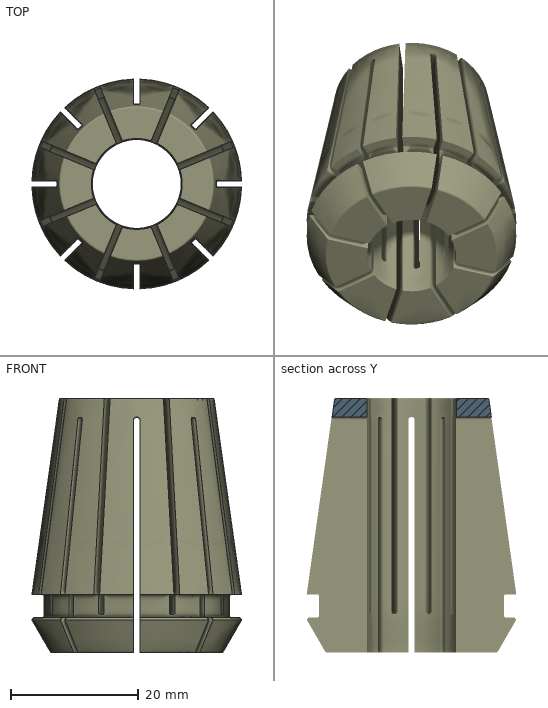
import cadquery as cq
import math

LENGTH = 40.0
MAX_RADIUS = 16.5
BORE_RADIUS = 14.0 / 2

NOSE_ANGLE = 30.0
RIM_HEIGHT = 5.15
NOSE_HEIGHT = 5.5
NOSE_TOP_RADIUS = 16.2
NOSE_BOTTOM_FILLET = 0.3

GROOVE_RADIUS = 14.6
GROOVE_TOP_HEIGHT = 9.1
GROOVE_FILLET = 0.2

CONE_ANGLE = 8.0
TOP_FILLET = 0.3
BORE_CHAMFER = 0.15

SLOTS_PER_END = 8
SLOT_WIDTH = 1.0
SLOT_CORNER_RADIUS = 0.4
LOWER_SLOT_END = 37.0
UPPER_SLOT_END = 6.0
CUT_MARGIN = 1.0
SELECT_TOLERANCE = 0.01

NOSE_BOTTOM_RADIUS = MAX_RADIUS - RIM_HEIGHT * math.tan(math.radians(NOSE_ANGLE))
CONE_TOP_RADIUS = MAX_RADIUS - (LENGTH - GROOVE_TOP_HEIGHT) * math.tan(math.radians(CONE_ANGLE))
SLOT_PITCH = 360.0 / SLOTS_PER_END


def circle_at(body, radius, height):
    """Select the circular edge of the body with this radius at this height."""
    circles = body.edges("%CIRCLE")
    return circles.filter(
        lambda edge: math.isclose(edge.radius(), radius, abs_tol=SELECT_TOLERANCE)
        and math.isclose(edge.Center().z, height, abs_tol=SELECT_TOLERANCE)
    )


def make_body():
    """Revolve the sharp half section of the collet about the Z axis, then round and chamfer its edges."""
    section = [
        (BORE_RADIUS, 0),
        (NOSE_BOTTOM_RADIUS, 0),
        (MAX_RADIUS, RIM_HEIGHT),
        (NOSE_TOP_RADIUS, NOSE_HEIGHT),
        (GROOVE_RADIUS, NOSE_HEIGHT),
        (GROOVE_RADIUS, GROOVE_TOP_HEIGHT),
        (MAX_RADIUS, GROOVE_TOP_HEIGHT),
        (CONE_TOP_RADIUS, LENGTH),
        (BORE_RADIUS, LENGTH),
    ]
    body = cq.Workplane("XZ").polyline(section).close().revolve(360, (0, 0, 0), (0, 1, 0))
    fillets = [
        (NOSE_BOTTOM_RADIUS, 0, NOSE_BOTTOM_FILLET),
        (GROOVE_RADIUS, NOSE_HEIGHT, GROOVE_FILLET),
        (GROOVE_RADIUS, GROOVE_TOP_HEIGHT, GROOVE_FILLET),
        (CONE_TOP_RADIUS, LENGTH, TOP_FILLET),
    ]
    for radius, height, fillet_radius in fillets:
        body = circle_at(body, radius, height).fillet(fillet_radius)
    return circle_at(body, BORE_RADIUS, LENGTH).chamfer(BORE_CHAMFER)


def make_slot(bottom, top, rounded_end, angle):
    """Radial slot along +X turned by angle, with its corners rounded at one end ("<Z" or ">Z")."""
    radial_length = MAX_RADIUS + CUT_MARGIN
    return (
        cq.Workplane("XY", origin=(0, 0, bottom))
        .box(radial_length, SLOT_WIDTH, top - bottom, centered=(False, True, False))
        .faces(rounded_end)
        .edges("|X")
        .fillet(SLOT_CORNER_RADIUS)
        .rotate((0, 0, 0), (0, 0, 1), angle)
    )


def cut_slots(body):
    """Cut both rings of slots, the upper ring midway between the lower ones."""
    for index in range(SLOTS_PER_END):
        lower_angle = index * SLOT_PITCH
        upper_angle = lower_angle + SLOT_PITCH / 2
        body = body.cut(make_slot(-CUT_MARGIN, LOWER_SLOT_END, ">Z", lower_angle))
        body = body.cut(make_slot(UPPER_SLOT_END, LENGTH + CUT_MARGIN, "<Z", upper_angle))
    return body


result = cut_slots(make_body())